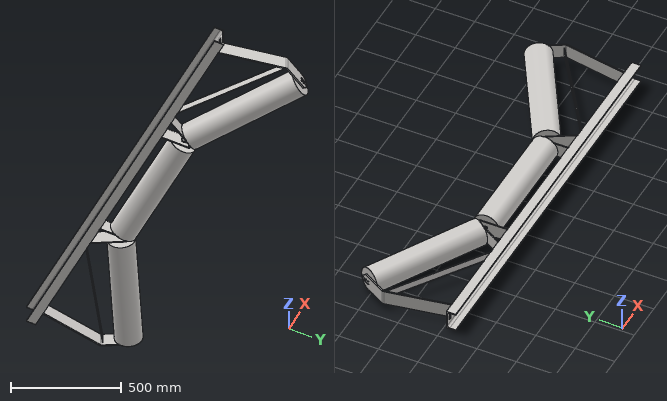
import cadquery as cq
import math


CHANNEL_LENGTH = 1900.0
CHANNEL_HEIGHT = 100.0
CHANNEL_DEPTH = 48.0
WEB_THICKNESS = 5.0
FLANGE_THICKNESS = 5.0
ROOT_RADIUS = 11.0
MOUNT_SLOT_WIDTH = 17.0
MOUNT_SLOT_HEIGHT = 28.0
MOUNT_SLOT_INSET = 28.0

ROLLER_DIAMETER = 133.0
ROLLER_LENGTH = 600.0
SHAFT_DIAMETER = 23.0
SHAFT_FLATS = 18.0
END_GAP = 8.0
CENTRE_AXIS_Y = 120.0
TROUGH_ANGLE = 30.0
WING_INNER_X = -345.0
WING_INNER_Y = 131.0

BRACKET_WIDTH = 75.0
INNER_THICKNESS = 5.0
INNER_TOP_Y = 148.0
OUTER_THICKNESS = 8.0
OUTER_TIP_RISE = 30.0
OUTER_BEND_DROP = 130.0
OUTER_BEND_RADIUS = 10.0
OUTER_FOOT_X = -887.0
TIP_CHAMFER = 19.0
BRACE_WIDTH = 40.0
BRACE_THICKNESS = 4.0
BRACE_FOOT_X = -448.0
BRACE_BEND_OFFSET = 5.0

ANGLE = math.radians(TROUGH_ANGLE)
OUTWARD = cq.Vector(-math.cos(ANGLE), math.sin(ANGLE))
UPWARD = cq.Vector(math.sin(ANGLE), math.cos(ANGLE))
CENTRE_INNER_END = cq.Vector(-ROLLER_LENGTH / 2, CENTRE_AXIS_Y)
WING_INNER_END = cq.Vector(WING_INNER_X, WING_INNER_Y)
WING_OUTER_END = WING_INNER_END + OUTWARD * ROLLER_LENGTH
WING_CENTRE = WING_INNER_END + OUTWARD * (ROLLER_LENGTH / 2)


def plate(points, width):
    """Profile in the XY plane extruded evenly to both sides of z = 0."""
    outline = [(p.x, p.y) for p in points]
    return cq.Workplane("XY").polyline(outline).close().extrude(width / 2, both=True)


def along(start, direction, y):
    """Point where the line from start along direction reaches height y."""
    return start + direction * ((y - start.y) / direction.y)


def crossing(p, u, q, v):
    """Point where the line through p along u meets the line through q along v."""
    gap = q - p
    return p + u * ((gap.x * v.y - gap.y * v.x) / (u.x * v.y - u.y * v.x))


def make_channel():
    channel = cq.Workplane("XY").box(CHANNEL_LENGTH, CHANNEL_DEPTH, CHANNEL_HEIGHT)
    channel = channel.translate((0, -CHANNEL_DEPTH / 2, 0))
    cavity_height = CHANNEL_HEIGHT - 2 * FLANGE_THICKNESS
    cavity = (
        cq.Workplane("XY")
        .box(CHANNEL_LENGTH, CHANNEL_DEPTH, cavity_height)
        .edges("|X and >Y")
        .fillet(ROOT_RADIUS)
        .translate((0, -CHANNEL_DEPTH / 2 - WEB_THICKNESS, 0))
    )
    slot_x = CHANNEL_LENGTH / 2 - MOUNT_SLOT_INSET
    slots = (
        cq.Workplane("XZ")
        .pushPoints([(-slot_x, 0), (slot_x, 0)])
        .rect(MOUNT_SLOT_WIDTH, MOUNT_SLOT_HEIGHT)
        .extrude(WEB_THICKNESS)
    )
    return channel.cut(cavity).cut(slots)


def make_roller(inner_plate, outer_plate):
    """Roller along X about the origin; its shaft ends are flattened where they sit in the two plates."""
    half_length = ROLLER_LENGTH / 2
    left_end = cq.Workplane("YZ", origin=(-half_length, 0, 0))
    roller = left_end.circle(ROLLER_DIAMETER / 2).extrude(ROLLER_LENGTH)
    flats = cq.Workplane("XY").box(2 * ROLLER_LENGTH, SHAFT_DIAMETER, SHAFT_FLATS)
    for direction, plate_thickness in ((-1, outer_plate), (1, inner_plate)):
        end = cq.Workplane("YZ", origin=(direction * half_length, 0, 0))
        neck = end.circle(SHAFT_DIAMETER / 2).extrude(direction * END_GAP)
        tip = (
            end.workplane(offset=direction * END_GAP)
            .circle(SHAFT_DIAMETER / 2)
            .extrude(direction * plate_thickness)
        )
        roller = roller.union(neck).union(tip.intersect(flats))
    return roller


def make_centre_roller():
    return make_roller(INNER_THICKNESS, INNER_THICKNESS).translate((0, CENTRE_AXIS_Y, 0))


def make_left_wing_roller():
    roller = make_roller(INNER_THICKNESS, OUTER_THICKNESS)
    return roller.rotate((0, 0, 0), (0, 0, 1), -TROUGH_ANGLE).translate(WING_CENTRE)


def shaft_slot(end, outward, upward, thickness):
    """Slot for a shaft end, open at the top of the plate that stands END_GAP beyond the roller."""
    base = end + outward * END_GAP - upward * (SHAFT_DIAMETER / 2)
    rise = upward * (SHAFT_DIAMETER / 2 + 2 * OUTER_TIP_RISE)
    across = outward * thickness
    return plate([base, base + across, base + across + rise, base + rise], SHAFT_FLATS)


def make_left_inner_bracket():
    """Folded strap: an upright leg at the centre roller and a slanted leg at the wing roller."""
    left, up = cq.Vector(-1, 0), cq.Vector(0, 1)
    upright_near = CENTRE_INNER_END + left * END_GAP
    upright_far = upright_near + left * INNER_THICKNESS
    slant_near = WING_INNER_END - OUTWARD * END_GAP
    slant_far = slant_near - OUTWARD * INNER_THICKNESS
    underside_y = INNER_TOP_Y - INNER_THICKNESS
    bracket = plate(
        [
            along(upright_near, up, 0),
            along(upright_near, up, INNER_TOP_Y),
            along(slant_near, UPWARD, INNER_TOP_Y),
            along(slant_near, UPWARD, 0),
            along(slant_far, UPWARD, 0),
            along(slant_far, UPWARD, underside_y),
            along(upright_far, up, underside_y),
            along(upright_far, up, 0),
        ],
        BRACKET_WIDTH,
    )
    upright_slot = shaft_slot(CENTRE_INNER_END, left, up, INNER_THICKNESS)
    slant_slot = shaft_slot(WING_INNER_END, OUTWARD * -1, UPWARD, INNER_THICKNESS)
    return bracket.cut(upright_slot).cut(slant_slot)


INNER_FACE = WING_OUTER_END + OUTWARD * END_GAP
OUTER_FACE = INNER_FACE + OUTWARD * OUTER_THICKNESS
OUTER_BEND = OUTER_FACE - UPWARD * OUTER_BEND_DROP
OUTER_FOOT = cq.Vector(OUTER_FOOT_X, 0)
LEG = (OUTER_BEND - OUTER_FOOT).normalized()
INNER_FOOT = OUTER_FOOT + cq.Vector(OUTER_THICKNESS / LEG.y, 0)
INNER_BEND = crossing(INNER_FACE, UPWARD, INNER_FOOT, LEG)


def make_left_outer_bracket():
    """Bent plate with a leaning leg, a chamfered tip and an open slot for the wing shaft."""
    tip = UPWARD * OUTER_TIP_RISE
    bracket = plate(
        [OUTER_FOOT, OUTER_BEND, OUTER_FACE + tip, INNER_FACE + tip, INNER_BEND, INNER_FOOT],
        BRACKET_WIDTH,
    )
    inner_corner = cq.selectors.NearestToPointSelector((INNER_BEND.x, INNER_BEND.y, 0))
    outer_corner = cq.selectors.NearestToPointSelector((OUTER_BEND.x, OUTER_BEND.y, 0))
    bracket = bracket.edges("|Z").edges(inner_corner).fillet(OUTER_BEND_RADIUS)
    bracket = bracket.edges("|Z").edges(outer_corner).fillet(OUTER_BEND_RADIUS + OUTER_THICKNESS)
    tip_face = cq.selectors.DirectionMinMaxSelector(UPWARD, True)
    bracket = bracket.faces(tip_face).edges("not |Z").edges("<Z or >Z").chamfer(TIP_CHAMFER)
    return bracket.cut(shaft_slot(WING_OUTER_END, OUTWARD, UPWARD, OUTER_THICKNESS))


def make_left_brace():
    """Flat bar from the bend of the outer bracket down to the channel."""
    foot = cq.Vector(BRACE_FOOT_X, 0)
    head = INNER_BEND + UPWARD * BRACE_BEND_OFFSET
    run = (foot - head).normalized()
    top = crossing(head + cq.Vector(-run.y, run.x) * BRACE_THICKNESS, run, INNER_FACE, UPWARD)
    return plate([head, top, along(top, run, 0), foot], BRACE_WIDTH)


def both_sides(left_body):
    """The left body and its mirror image on the right."""
    return [left_body.val(), left_body.mirror("YZ").val()]


channel = make_channel()
centre_roller = make_centre_roller()
wing_rollers = both_sides(make_left_wing_roller())
inner_brackets = both_sides(make_left_inner_bracket())
outer_brackets = both_sides(make_left_outer_bracket())
braces = both_sides(make_left_brace())

result = cq.Compound.makeCompound(
    [
        channel.val(),
        centre_roller.val(),
        *wing_rollers,
        *inner_brackets,
        *outer_brackets,
        *braces,
    ]
)